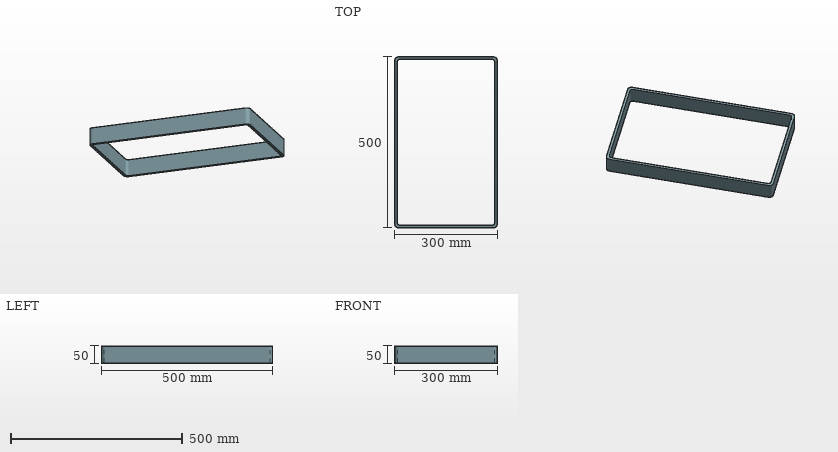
import cadquery as cq

width = 300.0
length = 500.0
height = 50.0

wall = 8.0
outer_radius = 12.0
inner_radius = 8.0


def rounded_block(size_x, size_y, corner_radius):
    """Block of the frame's height with rounded vertical edges."""
    block = cq.Workplane("XY").box(size_x, size_y, height)
    return block.edges("|Z").fillet(corner_radius)


outer_block = rounded_block(width, length, outer_radius)
opening = rounded_block(width - 2 * wall, length - 2 * wall, inner_radius)

result = outer_block.cut(opening)